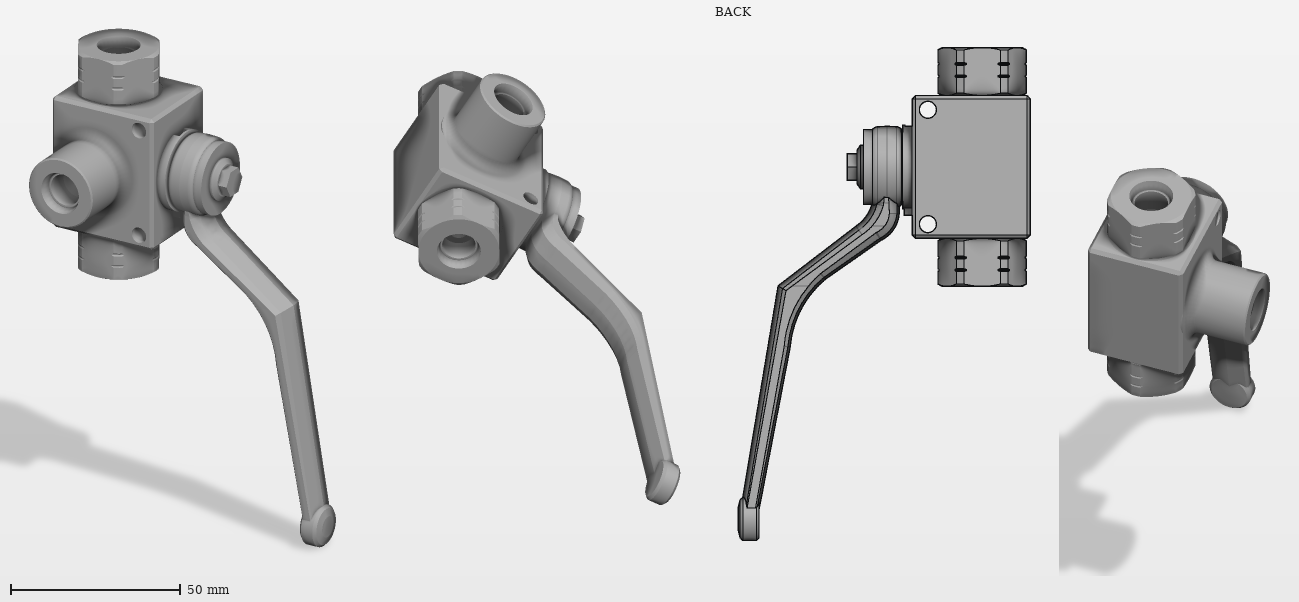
import cadquery as cq
import math


block_x_min = -14.3
block_x_max = 20.7
block_width = 30.0
block_height = 42.3
block_chamfer = 1.0
mount_hole_diameter = 5.0
mount_hole_x = 16.0
mount_hole_z = 16.9

end_reach = 35.3
hex_across_flats = 23.9
hex_corner_diameter = 26.2
hex_bevel_angle = 30.0
corner_groove_depth = 0.3
corner_groove_width = 0.9
corner_groove_offsets = (4.8, 8.5)
seat_recess_depth = 0.1

side_reach = 33.5
side_diameter = 22.0
side_root_radius = 2.9
side_edge_chamfer = 0.5

mouth_diameter = 13.0
mouth_end_diameter = 11.4
mouth_depth = 2.9
socket_diameter = 9.9
socket_depth = 10.2
passage_diameter = 6.0
side_passage_diameter = 5.8
side_cone_depth = 2.0

flange_diameter = 24.9
flange_x_end = 23.5
notch_diameter = 6.0
notch_x_end = 22.7
lug_reach = 14.3
lug_width = 6.0
lug_x_end = 23.0

hub_x_start = 23.9
hub_x_end = 32.4
hub_diameter = 24.2
hub_crown = 0.1
hub_edge_drop = 0.7
hub_edge_length = 1.5
neck_diameter = 20.4
cap_diameter = 22.3
cap_x_end = 35.1
washer_diameter = 13.0
washer_x_rim = 36.0
washer_x_end = 37.0
washer_top_diameter = 9.9
stem_hex_across_flats = 7.9
stem_x_end = 40.0

arm_top_z = -5.1
arm_bottom_z = -105.0
inner_root_start = (24.5, -13.8)
inner_root_middle = (26.2, -18.7)
inner_root_end = (29.9, -21.7)
inner_elbow_start = (46.3, -33.2)
inner_elbow_middle = (53.2, -41.5)
inner_elbow_end = (56.7, -53.2)
inner_bottom_x = 66.6
outer_root_start = (32.5, -10.6)
outer_root_middle = (34.1, -14.3)
outer_root_end = (37.3, -17.5)
outer_elbow = (60.3, -35.1)
outer_bottom_x = 72.0
arm_clearance = 14.6

inner_crease_draft = 8.0
inner_edge_draft = 40.0
outer_crease_draft = 16.0
outer_edge_draft = 35.0
arm_edge_y = 5.1
arm_outer_y = 8.7
arm_half_widths = (
    (arm_top_z, 8.6),
    (outer_root_start[1], 7.9),
    (outer_root_end[1], 7.6),
    (outer_elbow[1], 6.7),
    (arm_bottom_z, 5.5),
)

grip_diameter = 13.0
grip_bottom_z = -110.5
grip_x_start = 65.9
grip_x_rim = 71.5
grip_x_end = 72.1
grip_edge_chamfer = 0.9

block_half_width = block_width / 2
block_half_height = block_height / 2
overlap = 0.7


def x_cylinder(diameter, x_start, x_end):
    """Cylinder on the stem axis."""
    return cq.Workplane("YZ", origin=(x_start, 0, 0)).circle(diameter / 2).extrude(x_end - x_start)


def hexagon_corner_distance(across_flats):
    return across_flats / math.cos(math.pi / 6)


def revolve_about_x(profile):
    return profile.close().revolve(360, (0, 0, 0), (1, 0, 0))


def make_block():
    block = (
        cq.Workplane("XY")
        .box(block_x_max - block_x_min, block_width, block_height)
        .translate(((block_x_min + block_x_max) / 2, 0, 0))
        .edges()
        .chamfer(block_chamfer)
    )
    seat = (
        cq.Workplane("XY")
        .workplane(offset=block_half_height - seat_recess_depth)
        .circle(hex_corner_diameter / 2)
        .extrude(seat_recess_depth)
    )
    return block.cut(seat).cut(seat.mirror("XY"))


def cut_mounting_holes(body):
    holes = (
        cq.Workplane("XZ", origin=(0, block_half_width, 0))
        .pushPoints([(mount_hole_x, mount_hole_z), (mount_hole_x, -mount_hole_z)])
        .circle(mount_hole_diameter / 2)
        .extrude(block_width)
    )
    return body.cut(holes)


def make_hex_end():
    """Upper hexagon: rounded corners, bevelled ends and two grooves across each corner."""
    flat_radius = hex_across_flats / 2
    corner_radius = hex_corner_diameter / 2
    bevel = (corner_radius - flat_radius) * math.tan(math.radians(hex_bevel_angle))
    groove_radius = corner_radius - corner_groove_depth
    groove_half = corner_groove_width / 2
    base_z = block_half_height

    envelope = cq.Workplane("XZ").moveTo(0, base_z - overlap).lineTo(flat_radius, base_z - overlap)
    envelope = envelope.lineTo(flat_radius, base_z).lineTo(corner_radius, base_z + bevel)
    for offset in reversed(corner_groove_offsets):
        groove_z = end_reach - offset
        envelope = (
            envelope.lineTo(corner_radius, groove_z - groove_half)
            .lineTo(groove_radius, groove_z - groove_half + corner_groove_depth)
            .lineTo(groove_radius, groove_z + groove_half - corner_groove_depth)
            .lineTo(corner_radius, groove_z + groove_half)
        )
    envelope = (
        envelope.lineTo(corner_radius, end_reach - bevel)
        .lineTo(flat_radius, end_reach)
        .lineTo(0, end_reach)
        .close()
        .revolve(360, (0, 0, 0), (0, 1, 0))
    )
    prism = cq.Workplane("XY").polygon(6, hexagon_corner_distance(hex_across_flats)).extrude(end_reach)
    return envelope.intersect(prism)


def make_side_connection():
    """Round spigot toward -Y, flared into the block by a concave root."""
    radius = side_diameter / 2
    flare_radius = radius + side_root_radius
    face_y = -block_half_width
    arc_shift = side_root_radius * (1 - math.sqrt(0.5))
    return (
        cq.Workplane("XY")
        .moveTo(0, face_y + block_chamfer)
        .lineTo(flare_radius, face_y + block_chamfer)
        .lineTo(flare_radius, face_y)
        .threePointArc((radius + arc_shift, face_y - arc_shift), (radius, face_y - side_root_radius))
        .lineTo(radius, -side_reach + side_edge_chamfer)
        .lineTo(radius - side_edge_chamfer, -side_reach)
        .lineTo(0, -side_reach)
        .close()
        .revolve(360, (0, 0, 0), (0, 1, 0))
    )


def make_bore(reach, diameter, bottom_z, bottom_cone):
    """Stepped bore along Z, from the end face at z = reach down to z = bottom_z."""
    return (
        cq.Workplane("XZ")
        .moveTo(0, bottom_z)
        .lineTo(diameter / 2, bottom_z)
        .lineTo(diameter / 2, reach - socket_depth - bottom_cone)
        .lineTo(socket_diameter / 2, reach - socket_depth)
        .lineTo(socket_diameter / 2, reach - mouth_depth)
        .lineTo(mouth_end_diameter / 2, reach - mouth_depth)
        .lineTo(mouth_diameter / 2, reach)
        .lineTo(0, reach)
        .close()
        .revolve(360, (0, 0, 0), (0, 1, 0))
    )


def make_flange():
    flange = x_cylinder(flange_diameter, block_x_max - overlap, flange_x_end)
    notch = x_cylinder(notch_diameter, block_x_max, notch_x_end).translate((0, 0, flange_diameter / 2))
    lug = cq.Workplane("XY").box(
        lug_x_end - block_x_max + overlap, lug_width, lug_reach / 2, centered=(False, True, False)
    )
    return flange.cut(notch).union(lug.translate((block_x_max - overlap, 0, -lug_reach)))


def make_hub():
    """Lever hub with rounded rims, the cap and the washer."""
    crest_radius = hub_diameter / 2
    shoulder_radius = crest_radius - hub_crown
    rim_radius = shoulder_radius - hub_edge_drop
    bulge_radius = shoulder_radius - hub_edge_drop / 4
    half_edge = hub_edge_length / 2
    left_shoulder_x = hub_x_start + hub_edge_length
    right_shoulder_x = hub_x_end - hub_edge_length
    neck = x_cylinder(neck_diameter, flange_x_end - overlap, hub_x_start + overlap)
    hub = revolve_about_x(
        cq.Workplane("XY")
        .moveTo(hub_x_start, 0)
        .lineTo(hub_x_start, rim_radius)
        .threePointArc((hub_x_start + half_edge, bulge_radius), (left_shoulder_x, shoulder_radius))
        .lineTo((hub_x_start + hub_x_end) / 2, crest_radius)
        .lineTo(right_shoulder_x, shoulder_radius)
        .threePointArc((hub_x_end - half_edge, bulge_radius), (hub_x_end, rim_radius))
        .lineTo(hub_x_end, cap_diameter / 2)
        .lineTo(cap_x_end, cap_diameter / 2)
        .lineTo(cap_x_end, washer_diameter / 2)
        .lineTo(washer_x_rim, washer_diameter / 2)
        .lineTo(washer_x_end, washer_top_diameter / 2)
        .lineTo(washer_x_end, 0)
    )
    return neck.union(hub)


def make_stem_end():
    """Hexagon with flats facing up and down."""
    corner_distance = hexagon_corner_distance(stem_hex_across_flats)
    start = washer_x_end - overlap
    return cq.Workplane("YZ", origin=(start, 0, 0)).polygon(6, corner_distance).extrude(stem_x_end - start)


def drafted_slab(outline, crease_draft, edge_draft):
    """Extrude an XZ outline to both sides of a centre crease, with a steeper draft near the edges."""
    half = outline.close().extrude(arm_edge_y, taper=crease_draft)
    edge_stage = half.faces("<Y").wires().toPending().workplane()
    half = edge_stage.extrude(arm_outer_y - arm_edge_y, taper=edge_draft)
    return half.union(half.mirror("XZ"))


def make_arm():
    """Cranked arm: the overlap of an inner-faced and an outer-faced slab, narrowing toward the grip."""
    inner_slab = drafted_slab(
        cq.Workplane("XZ")
        .moveTo(inner_root_start[0], arm_top_z)
        .lineTo(*inner_root_start)
        .threePointArc(inner_root_middle, inner_root_end)
        .lineTo(*inner_elbow_start)
        .threePointArc(inner_elbow_middle, inner_elbow_end)
        .lineTo(inner_bottom_x, arm_bottom_z)
        .lineTo(grip_x_end + arm_clearance, arm_bottom_z)
        .lineTo(grip_x_end + arm_clearance, arm_top_z),
        inner_crease_draft,
        inner_edge_draft,
    )
    outer_slab = drafted_slab(
        cq.Workplane("XZ")
        .moveTo(outer_root_start[0], arm_top_z)
        .lineTo(*outer_root_start)
        .threePointArc(outer_root_middle, outer_root_end)
        .lineTo(*outer_elbow)
        .lineTo(outer_bottom_x, arm_bottom_z)
        .lineTo(hub_x_start - arm_clearance, arm_bottom_z)
        .lineTo(hub_x_start - arm_clearance, arm_top_z),
        outer_crease_draft,
        outer_edge_draft,
    )
    outline = [(width, z) for z, width in arm_half_widths]
    outline += [(-width, z) for z, width in reversed(arm_half_widths)]
    plan = cq.Workplane("YZ").polyline(outline).close().extrude(grip_x_end)
    return inner_slab.intersect(outer_slab).intersect(plan)


def make_grip():
    """Disc facing -X with a bevelled front edge and a domed back."""
    radius = grip_diameter / 2
    disc = revolve_about_x(
        cq.Workplane("XY")
        .moveTo(grip_x_start, 0)
        .lineTo(grip_x_start, radius - grip_edge_chamfer)
        .lineTo(grip_x_start + grip_edge_chamfer, radius)
        .lineTo(grip_x_rim - grip_edge_chamfer, radius)
        .lineTo(grip_x_rim, radius - grip_edge_chamfer)
        .lineTo(grip_x_end, radius / 2)
        .lineTo(grip_x_end, 0)
    )
    return disc.translate((0, 0, grip_bottom_z + radius))


hex_end = make_hex_end()
body = make_block().union(hex_end).union(hex_end.mirror("XY")).union(make_side_connection())
body = cut_mounting_holes(body)

end_bore = make_bore(end_reach, passage_diameter, socket_depth - end_reach, 0)
side_bore = make_bore(side_reach, side_passage_diameter, 0, side_cone_depth)
side_bore = side_bore.rotate((0, 0, 0), (1, 0, 0), 90)
body = body.cut(end_bore).cut(end_bore.mirror("XY")).cut(side_bore)

lever = make_hub().union(make_arm()).union(make_grip())
result = body.union(make_flange()).union(lever).union(make_stem_end())